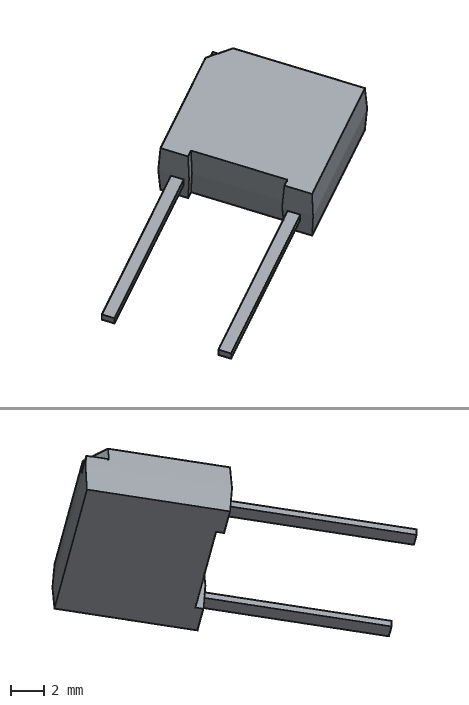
import cadquery as cq
import math

HOUSING_WIDTH = 10.0
HOUSING_DEPTH = 9.0
HOUSING_HEIGHT = 4.0
DRAFT_ANGLE = 3.0

NOTCH_WIDTH = 6.0
NOTCH_DEPTH = 0.5

MARKER_LEG = 1.5
MARKER_DEPTH = 1.0

OVERALL_LENGTH = 20.5
LEAD_PITCH = 7.52
LEAD_WIDTH = 0.82
LEAD_THICKNESS = 0.51
LEAD_TOP_Z = -0.2

half_width = HOUSING_WIDTH / 2
half_depth = HOUSING_DEPTH / 2
half_height = HOUSING_HEIGHT / 2
half_notch = NOTCH_WIDTH / 2
draft_inset = half_height * math.tan(math.radians(DRAFT_ANGLE))
lead_tip_y = half_depth - OVERALL_LENGTH


def housing_outline(inset, z):
    """Closed wire of the notched outline, moved inward by inset, at height z."""
    side_x = half_width - inset
    notch_x = half_notch + inset
    front_y = -half_depth + inset
    notch_y = front_y + NOTCH_DEPTH
    back_y = half_depth - inset
    points = [
        (-side_x, front_y),
        (-notch_x, front_y),
        (-notch_x, notch_y),
        (notch_x, notch_y),
        (notch_x, front_y),
        (side_x, front_y),
        (side_x, back_y),
        (-side_x, back_y),
    ]
    return cq.Wire.makePolygon([cq.Vector(x, y, z) for x, y in points], close=True)


def make_housing_half(end_z):
    """One drafted half, narrowing from the parting plane to end_z."""
    wires = [housing_outline(0, 0), housing_outline(draft_inset, end_z)]
    return cq.Workplane(obj=cq.Solid.makeLoft(wires, ruled=True))


def make_marker_cutter():
    """Upright triangular prism over the back left corner."""
    return (
        cq.Workplane("XY", origin=(-half_width, half_depth, half_height - MARKER_DEPTH))
        .polyline([(0, 0), (MARKER_LEG, 0), (0, -MARKER_LEG)])
        .close()
        .extrude(MARKER_DEPTH)
    )


def make_housing():
    upper_half = make_housing_half(half_height)
    lower_half = make_housing_half(-half_height)
    return upper_half.union(lower_half).cut(make_marker_cutter()).solids()


def make_lead(center_x, housing):
    """Straight flat lead, trimmed where it meets the sloping front face."""
    blank_end_y = -half_depth + draft_inset
    blank = cq.Workplane("XY").box(
        LEAD_WIDTH, blank_end_y - lead_tip_y, LEAD_THICKNESS, centered=(True, False, False)
    )
    placed = blank.translate((center_x, lead_tip_y, LEAD_TOP_Z - LEAD_THICKNESS))
    return placed.cut(housing).solids()


housing = make_housing()
leads = [make_lead(side * LEAD_PITCH / 2, housing) for side in (-1, 1)]

result = cq.Compound.makeCompound([housing.val(), *[lead.val() for lead in leads]])